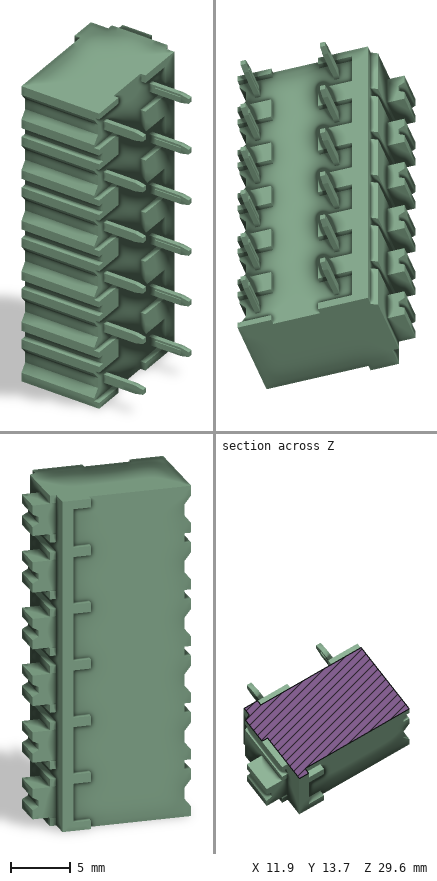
import cadquery as cq

pole_count = 6
total_height = 29.6
pole_height = 4.2
pitch = (total_height - pole_height) / (pole_count - 1)
gap_height = pitch - pole_height
pole_centers = [pole_height / 2 + i * pitch for i in range(pole_count)]
gap_centers = [pole_height + gap_height / 2 + i * pitch for i in range(pole_count - 1)]

rib_depth = 0.55
pin_face_x = 8.4
housing_top_y = 11.57

rib_bottom_y = 10.6
tooth_bottom_y = 9.05
inner_tooth_height = 0.83
end_tooth_height = 0.77

groove_depth = 0.6
groove_mouth = 2.5
groove_floor = 1.0

recess_depth = 0.5
recess_x = pin_face_x - recess_depth
recess_y_min = 3.0
recess_y_max = 7.13
pocket_height = 3.05
rear_pocket_trim = 0.18
rear_pocket_length = 3.05
rear_end_y = recess_y_max + rear_pocket_length
rear_pocket_height = pocket_height - rear_pocket_trim

pad_left_x = 1.75
pad_right_x = 7.65
pad_height = 0.55
pad_chamfer_length = 0.3
latch_clearance = 0.05

latch_left_x = 1.85
latch_width = 3.0
latch_height = 2.72
latch_top_y = 13.65
notch_mouth = 1.12
notch_floor = 0.55
notch_depth = 0.53

pin_tip_x = 11.9
pin_taper_length = 0.8
pin_width = 0.83
pin_tip_width = 0.47
pin_thickness = 0.45
front_pin_y = 1.42
pin_row_spacing = 7.05
bead_height = 0.1
bead_width = 0.4
bead_start = 0.12


def box(x0, x1, y0, y1, z0, z1):
    """Box spanning the given limits along each axis."""
    return cq.Workplane("XY").box(x1 - x0, y1 - y0, z1 - z0, centered=False).translate((x0, y0, z0))


def centered_box(x0, x1, y0, y1, z_mid, height):
    """Box spanning the given X and Y limits, centered on z_mid."""
    return box(x0, x1, y0, y1, z_mid - height / 2, z_mid + height / 2)


def x_trapezoid(x0, x1, y_wide, y_narrow, wide, narrow, z_mid):
    """Trapezoidal bar along X, with its wide and narrow sides at the two Y levels."""
    outline = [
        (y_wide, z_mid - wide / 2),
        (y_narrow, z_mid - narrow / 2),
        (y_narrow, z_mid + narrow / 2),
        (y_wide, z_mid + wide / 2),
    ]
    return cq.Workplane("YZ").polyline(outline).close().extrude(x1 - x0).translate((x0, 0, 0))


def guide_rib():
    """Rib along the whole height with a tooth at each gap and at both ends."""
    rib = box(0, rib_depth, rib_bottom_y, housing_top_y, 0, total_height)
    for z in gap_centers:
        rib = rib.union(centered_box(0, rib_depth, tooth_bottom_y, rib_bottom_y, z, inner_tooth_height))
    for z in (end_tooth_height / 2, total_height - end_tooth_height / 2):
        rib = rib.union(centered_box(0, rib_depth, tooth_bottom_y, rib_bottom_y, z, end_tooth_height))
    return rib


def pad(z_mid):
    """Raised pad with its +X end sloped and a slot for the latch, open at the -X end."""
    pad_top_y = housing_top_y + pad_height
    outline = [
        (pad_left_x, housing_top_y),
        (pad_right_x, housing_top_y),
        (pad_right_x - pad_chamfer_length, pad_top_y),
        (pad_left_x, pad_top_y),
    ]
    block = cq.Workplane("XY").polyline(outline).close().extrude(pole_height)
    block = block.translate((0, 0, z_mid - pole_height / 2))
    slot_end_x = latch_left_x + latch_width
    slot_height = latch_height + 2 * latch_clearance
    return block.cut(centered_box(pad_left_x, slot_end_x, housing_top_y, pad_top_y, z_mid, slot_height))


def latch(z_mid):
    """Latch block with a tapered notch across its outer end."""
    right_x = latch_left_x + latch_width
    block = centered_box(latch_left_x, right_x, housing_top_y, latch_top_y, z_mid, latch_height)
    notch = x_trapezoid(
        latch_left_x, right_x, latch_top_y, latch_top_y - notch_depth, notch_mouth, notch_floor, z_mid
    )
    return block.cut(notch)


def pin(y_min, z_mid, bead_side):
    """Flat pin with a tapered tip; bead_side is +1 or -1 for a bead on its +Y or -Y face."""
    taper_x = pin_tip_x - pin_taper_length
    outline = [
        (recess_x, -pin_width / 2),
        (taper_x, -pin_width / 2),
        (pin_tip_x, -pin_tip_width / 2),
        (pin_tip_x, pin_tip_width / 2),
        (taper_x, pin_width / 2),
        (recess_x, pin_width / 2),
    ]
    blade = cq.Workplane("XZ").polyline(outline).close().extrude(-pin_thickness)
    blade = blade.translate((0, y_min, z_mid))
    face_y = y_min + pin_thickness if bead_side > 0 else y_min - bead_height
    bead = centered_box(pin_face_x + bead_start, taper_x, face_y, face_y + bead_height, z_mid, bead_width)
    return blade.union(bead)


housing = box(rib_depth, pin_face_x, 0, housing_top_y, 0, total_height).union(guide_rib())
housing = housing.cut(box(recess_x, pin_face_x, recess_y_min, recess_y_max, 0, total_height))
for z in gap_centers:
    housing = housing.cut(centered_box(rib_depth, pin_face_x, 0, groove_depth, z, gap_height))

for i, z in enumerate(pole_centers):
    housing = housing.cut(x_trapezoid(rib_depth, pin_face_x, 0, groove_depth, groove_mouth, groove_floor, z))

    housing = housing.cut(centered_box(recess_x, pin_face_x, 0, recess_y_min, z, pocket_height))
    trim_shift = rear_pocket_trim / 2 * (1 if i % 2 == 0 else -1)
    housing = housing.cut(
        centered_box(recess_x, pin_face_x, recess_y_max, rear_end_y, z + trim_shift, rear_pocket_height)
    )

result = housing
for z in pole_centers:
    result = result.union(pad(z)).union(latch(z))
    result = result.union(pin(front_pin_y, z, 1))
    result = result.union(pin(front_pin_y + pin_row_spacing, z, -1))